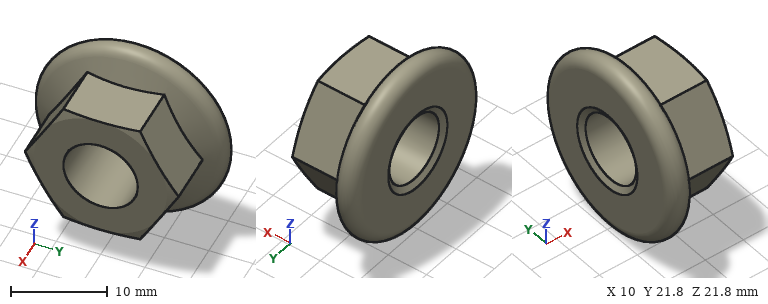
import cadquery as cq
import math

nut_height = 10.0
hexagon_sides = 6
across_flats = 15.0
flange_diameter = 21.8
rim_radius = 1.5
flange_slope = 25.0
crown_slope = 15.0
bore_diameter = 8.38
countersink_diameter = 10.0
countersink_included_angle = 120.0

flat_radius = across_flats / 2
corner_radius = flat_radius / math.cos(math.pi / hexagon_sides)
rim_center_radius = flange_diameter / 2 - rim_radius


def revolve_about_x(profile):
    """Revolve an (X, radius) profile drawn in the XY plane around the X axis."""
    return profile.close().revolve(360, (0, 0, 0), (1, 0, 0))


def make_flange():
    """Disc with a round rim that runs tangentially into a cone ending at the hexagon flats."""
    slope = math.radians(flange_slope)
    tangent_x = rim_radius * (1 + math.cos(slope))
    tangent_radius = rim_center_radius + rim_radius * math.sin(slope)
    cone_end_x = tangent_x + (tangent_radius - flat_radius) * math.tan(slope)
    profile = (
        cq.Workplane("XY")
        .lineTo(0, rim_center_radius)
        .threePointArc((rim_radius, flange_diameter / 2), (tangent_x, tangent_radius))
        .lineTo(cone_end_x, flat_radius)
        .lineTo(cone_end_x, 0)
    )
    return revolve_about_x(profile)


def make_hexagon():
    """Hexagonal prism with corners on Y and a conical crown chamfer at its free end."""
    prism = cq.Workplane("YZ").polygon(hexagon_sides, 2 * corner_radius).extrude(nut_height)
    crown_drop = (corner_radius - flat_radius) * math.tan(math.radians(crown_slope))
    envelope = (
        cq.Workplane("XY")
        .lineTo(0, corner_radius)
        .lineTo(nut_height - crown_drop, corner_radius)
        .lineTo(nut_height, flat_radius)
        .lineTo(nut_height, 0)
    )
    return prism.intersect(revolve_about_x(envelope))


def make_bore():
    """Through bore with a countersink at the bearing face."""
    bore_radius = bore_diameter / 2
    mouth_radius = countersink_diameter / 2
    half_angle = math.radians(countersink_included_angle / 2)
    countersink_depth = (mouth_radius - bore_radius) / math.tan(half_angle)
    profile = (
        cq.Workplane("XY")
        .lineTo(0, mouth_radius)
        .lineTo(countersink_depth, bore_radius)
        .lineTo(nut_height, bore_radius)
        .lineTo(nut_height, 0)
    )
    return revolve_about_x(profile)


result = make_flange().union(make_hexagon()).cut(make_bore())